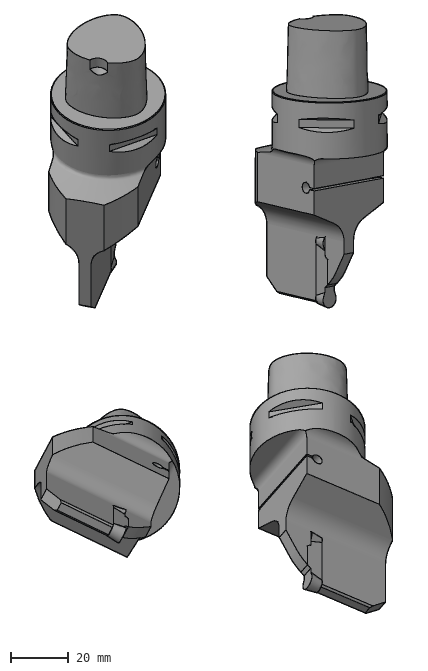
import cadquery as cq
import math

OVERSIZE = 101.0

shank_height = 23.8
lobe_height = 0.96
shank_base_radius = 14.1
shank_top_radius = 13.5
drill_radius = 3.6
drill_center_y = -14.1
drill_depth = 4.0
drill_tip_height = 2.8

flange_radius = 40.0 / 2
flange_chamfer = 0.3
flange_bottom = -20.1
flange_blend_start = -20.3
shoulder_blend = 1.5
shoulder_angle = math.radians(15)
shoulder_radius = 32.3

notch_count = 4
notch_floor = 17.6
notch_z = -8.2
notch_floor_half = 1.4
notch_mouth_half = 2.5

neck_half_width = 16.1
side_fillet = 3.8
side_fillet_top = -19.2
neck_back = 10.1
back_fillet = 3.0
neck_front = flange_radius - 50.5
front_half_width = 6.9
side_end_y = -19.5
corner_mid = (12.0, -25.4)
neck_side_bottom = -40.4
underside_angle = math.radians(25)
clamp_hole_diameter = 3.8
clamp_hole_y = 5.8
clamp_hole_z = -31.4
clamp_slot_width = 0.8

blade_half_width = 2.2
blade_top = -51.9
blade_bottom = -75.8
blade_edge_chamfer = 0.7
blade_back_end = -56.3
blade_curve_start = (5.6, -63.8)
blade_curve_mid = (3.5, -66.5)
blade_front_chamfer_y = 6.1
blade_front_chamfer_z = 5.3

insert_thickness = 4.5
insert_tip_radius = 3.0
insert_bottom = shank_height - 101.0
insert_center_z = -64.0
tip_offset = insert_center_z - insert_bottom - insert_tip_radius
insert_taper = 7.0
tip_arc_end = 1.5
tip_neck_end = 2.7
hump_height = 1.3
hump_half_length = 4.5
hump_base_half_length = 5.7


def lobed_wire(mean_radius, z):
    """Closed curve whose distance to its tangents is mean_radius + lobe_height * cos(3t)."""
    def point(turn):
        t = 2 * math.pi * turn
        radial = mean_radius + lobe_height * math.cos(3 * t)
        sideways = -3 * lobe_height * math.sin(3 * t)
        x = -radial * math.sin(t) - sideways * math.cos(t)
        y = radial * math.cos(t) - sideways * math.sin(t)
        return (x, y)

    return cq.Workplane("XY").workplane(offset=z).parametricCurve(point, N=120).val()


def make_shank():
    wires = [lobed_wire(shank_base_radius, 0), lobed_wire(shank_top_radius, shank_height)]
    shank = cq.Workplane(cq.Solid.makeLoft(wires, True))
    shoulder_z = shank_height - drill_depth
    drill = (
        cq.Workplane("XZ")
        .moveTo(0, shank_height)
        .lineTo(drill_radius, shank_height)
        .lineTo(drill_radius, shoulder_z)
        .lineTo(0, shoulder_z - drill_tip_height)
        .close()
        .revolve(360, (0, 0), (0, 1))
        .translate((0, drill_center_y, 0))
    )
    return shank.cut(drill)


def make_round_envelope():
    """Flange cylinder that blends into a downward conical shoulder."""
    blend_x = flange_radius + shoulder_blend
    half_angle = (math.pi / 2 - shoulder_angle) / 2

    def blend_point(angle):
        return (
            blend_x - shoulder_blend * math.cos(angle),
            flange_blend_start - shoulder_blend * math.sin(angle),
        )

    blend_end = blend_point(2 * half_angle)
    cone_drop = (shoulder_radius - blend_end[0]) * math.tan(shoulder_angle)
    return (
        cq.Workplane("XZ")
        .moveTo(0, 0)
        .lineTo(flange_radius - flange_chamfer, 0)
        .lineTo(flange_radius, -flange_chamfer)
        .lineTo(flange_radius, flange_blend_start)
        .threePointArc(blend_point(half_angle), blend_end)
        .lineTo(shoulder_radius, blend_end[1] - cone_drop)
        .lineTo(shoulder_radius, blade_bottom)
        .lineTo(0, blade_bottom)
        .close()
        .revolve(360, (0, 0), (0, 1))
    )


def make_front_envelope():
    """XZ outline: flange, filleted neck, sloping underside and thin blade."""
    fillet_x = neck_half_width + side_fillet
    fillet_z = side_fillet_top - side_fillet
    diagonal = math.sqrt(0.5)
    sine, cosine = math.sin(underside_angle), math.cos(underside_angle)
    rise = (neck_side_bottom - blade_top) * cosine
    run = (neck_half_width - blade_half_width) * sine
    radius = (rise - run) / (1 - sine)
    arc_x = blade_half_width + radius
    mid_angle = (math.pi / 2 - underside_angle) / 2
    half = (
        cq.Workplane("XZ")
        .moveTo(0, 0)
        .lineTo(shoulder_radius, 0)
        .lineTo(shoulder_radius, side_fillet_top)
        .lineTo(fillet_x, side_fillet_top)
        .threePointArc(
            (fillet_x - side_fillet * diagonal, fillet_z + side_fillet * diagonal),
            (neck_half_width, fillet_z),
        )
        .lineTo(neck_half_width, neck_side_bottom)
        .lineTo(arc_x - radius * sine, blade_top + radius * cosine)
        .threePointArc(
            (arc_x - radius * math.cos(mid_angle), blade_top + radius * math.sin(mid_angle)),
            (blade_half_width, blade_top),
        )
        .lineTo(blade_half_width, blade_bottom + blade_edge_chamfer)
        .lineTo(blade_half_width - blade_edge_chamfer, blade_bottom)
        .lineTo(0, blade_bottom)
        .close()
        .extrude(OVERSIZE / 2, both=True)
    )
    return half.union(half.mirror("YZ"))


def make_side_envelope():
    """YZ outline: flange, stepped-in back, curved blade back and front chamfer."""
    fillet_y = neck_back + back_fillet
    fillet_z = flange_bottom - back_fillet
    diagonal = back_fillet * math.sqrt(0.5)
    seat_z = insert_center_z - hump_half_length
    return (
        cq.Workplane("YZ")
        .moveTo(neck_front, 0)
        .lineTo(shoulder_radius, 0)
        .lineTo(shoulder_radius, flange_bottom)
        .lineTo(fillet_y, flange_bottom)
        .threePointArc((fillet_y - diagonal, fillet_z + diagonal), (neck_back, fillet_z))
        .lineTo(neck_back, blade_back_end)
        .lineTo(*blade_curve_start)
        .threePointArc(blade_curve_mid, (hump_height, seat_z))
        .lineTo(-insert_thickness, seat_z)
        .lineTo(-insert_thickness, blade_bottom)
        .lineTo(neck_front + blade_front_chamfer_y, blade_bottom)
        .lineTo(neck_front, blade_bottom + blade_front_chamfer_z)
        .close()
        .extrude(OVERSIZE / 2, both=True)
    )


def make_plan_envelope():
    """XY outline: full width around the flange, rounded corners toward the -Y face."""
    mid_x, mid_y = corner_mid
    return (
        cq.Workplane("XY")
        .moveTo(shoulder_radius, shoulder_radius)
        .lineTo(shoulder_radius, side_end_y)
        .lineTo(neck_half_width, side_end_y)
        .threePointArc((mid_x, mid_y), (front_half_width, neck_front))
        .lineTo(-front_half_width, neck_front)
        .threePointArc((-mid_x, mid_y), (-neck_half_width, side_end_y))
        .lineTo(-shoulder_radius, side_end_y)
        .lineTo(-shoulder_radius, shoulder_radius)
        .close()
        .extrude(-OVERSIZE)
    )


def make_notch(angle):
    """Flat-floored groove with sloping walls, cut across the flange rim."""
    return (
        cq.Workplane("XZ")
        .moveTo(notch_floor, notch_z - notch_floor_half)
        .lineTo(flange_radius, notch_z - notch_mouth_half)
        .lineTo(flange_radius, notch_z + notch_mouth_half)
        .lineTo(notch_floor, notch_z + notch_floor_half)
        .close()
        .extrude(flange_radius, both=True)
        .rotate((0, 0, 0), (0, 0, 1), angle)
    )


def make_clamp_slit():
    """Cross hole with a narrow slot opening through the back of the neck."""
    hole = (
        cq.Workplane("YZ")
        .center(clamp_hole_y, clamp_hole_z)
        .circle(clamp_hole_diameter / 2)
        .extrude(OVERSIZE / 2, both=True)
    )
    slot_length = neck_back - clamp_hole_y
    slot = cq.Workplane("XY").box(OVERSIZE, slot_length, clamp_slot_width)
    return hole.union(slot.translate((0, clamp_hole_y + slot_length / 2, clamp_hole_z)))


def make_insert_tip():
    """Lower round tip, tapering toward -Y, with a neck leading into the web."""
    arc_x = math.sqrt(insert_tip_radius ** 2 - tip_arc_end ** 2)
    return (
        cq.Workplane("XZ", origin=(0, 0, insert_center_z - tip_offset))
        .moveTo(blade_half_width, tip_neck_end)
        .lineTo(-blade_half_width, tip_neck_end)
        .lineTo(-arc_x, tip_arc_end)
        .threePointArc((0, -insert_tip_radius), (arc_x, tip_arc_end))
        .close()
        .extrude(insert_thickness, taper=insert_taper)
    )


def make_insert():
    web = (
        cq.Workplane("YZ", origin=(0, 0, insert_center_z))
        .moveTo(-insert_thickness, -tip_offset)
        .lineTo(0, -tip_offset)
        .lineTo(0, -hump_base_half_length)
        .lineTo(hump_height, -hump_half_length)
        .lineTo(hump_height, hump_half_length)
        .lineTo(0, hump_base_half_length)
        .lineTo(0, tip_offset)
        .lineTo(-insert_thickness, tip_offset)
        .close()
        .extrude(blade_half_width, both=True)
    )
    lower_tip = make_insert_tip()
    upper_tip = lower_tip.mirror("XY", (0, 0, insert_center_z))
    return web.union(lower_tip).union(upper_tip)


def make_holder(insert):
    holder = make_round_envelope().intersect(make_front_envelope())
    holder = holder.intersect(make_side_envelope()).intersect(make_plan_envelope())
    holder = holder.union(make_shank())
    for index in range(notch_count):
        holder = holder.cut(make_notch((index + 0.5) * 360 / notch_count))
    return holder.cut(make_clamp_slit()).cut(insert)


insert = make_insert()
holder = make_holder(insert)
result = cq.Compound.makeCompound([holder.solids().val(), insert.solids().val()])